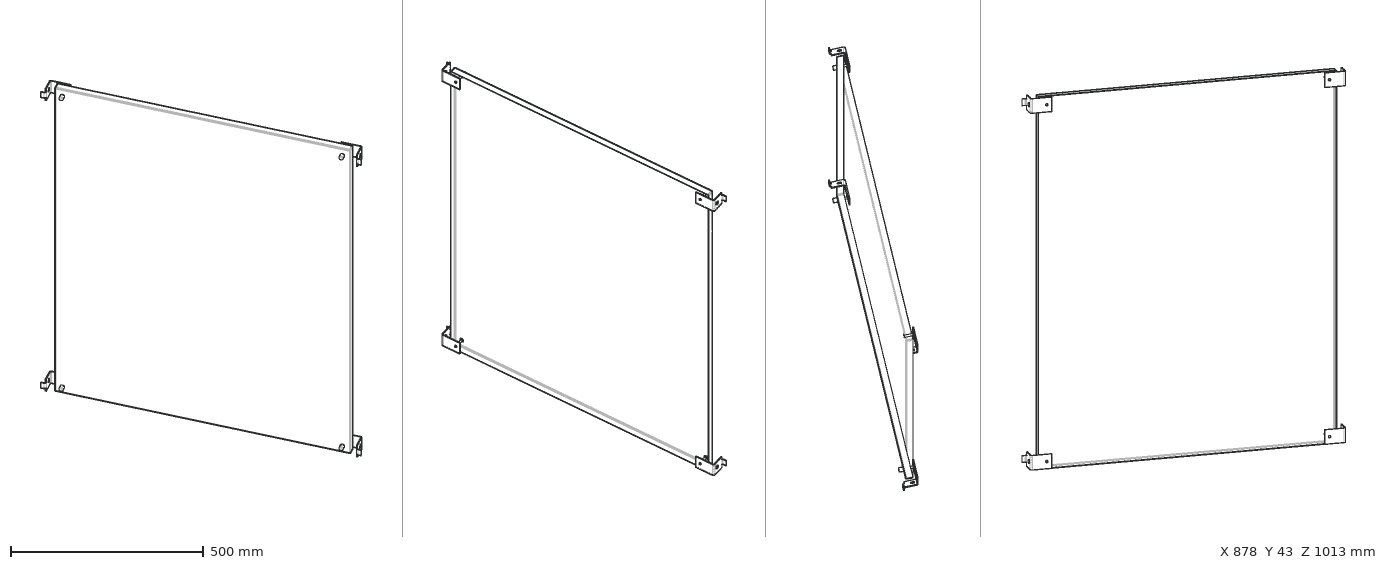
import cadquery as cq

HEIGHT = 1013.0
WIDTH = 878.0
DEPTH = 43.0
FRONT_Y = -DEPTH / 2
BACK_Y = DEPTH / 2

PANEL_WIDTH = 812.0
PANEL_FRONT_Y = -8.0
PANEL_DEPTH = 20.0
PANEL_SHEET = 2.0
PANEL_BEND = 3.5

BRACKET_SHEET = 3.0
BRACKET_BEND = 5.0
BRACKET_HEIGHT = 40.0
WALL_X = 428.0
PLATE_END_X = 371.0
FOOT_HEIGHT = 18.0
WALL_HOLE_DIAMETER = 11.0
WALL_HOLE_Y = 5.6

SCREW_INSET = 22.0
HEAD_DIAMETER = 12.0
HEAD_ROUND = 2.0
SHANK_DIAMETER = 6.0

SCREW_X = PANEL_WIDTH / 2 - SCREW_INSET
SCREW_Z = HEIGHT / 2 - SCREW_INSET
CORNERS = [(side, level) for side in (-1, 1) for level in (-1, 1)]


def cylinder_along_y(diameter, x, z, y_start, y_end):
    """A round bar parallel to Y."""
    plane = cq.Plane(origin=(x, y_start, z), xDir=(1, 0, 0), normal=(0, 1, 0))
    return cq.Workplane(plane).circle(diameter / 2).extrude(y_end - y_start)


def screw_shank(side, level):
    return cylinder_along_y(SHANK_DIAMETER, side * SCREW_X, level * SCREW_Z, PANEL_FRONT_Y, BACK_Y)


def rounded_block(width, height, front_y, back_y, radius):
    """Block centred on the Y axis, rounded at its four corners and along its front edges."""
    plane = cq.Plane(origin=(0, front_y, 0), xDir=(1, 0, 0), normal=(0, 1, 0))
    block = cq.Workplane(plane).rect(width, height).extrude(back_y - front_y)
    return block.edges("|Y or <Y").fillet(radius)


def make_panel():
    """Tray open at the back, with four screw holes."""
    back_y = PANEL_FRONT_Y + PANEL_DEPTH
    outside = rounded_block(PANEL_WIDTH, HEIGHT, PANEL_FRONT_Y, back_y, PANEL_BEND)
    inside = rounded_block(
        PANEL_WIDTH - 2 * PANEL_SHEET,
        HEIGHT - 2 * PANEL_SHEET,
        PANEL_FRONT_Y + PANEL_SHEET,
        back_y,
        PANEL_BEND - PANEL_SHEET,
    )
    panel = outside.cut(inside)
    for side, level in CORNERS:
        panel = panel.cut(screw_shank(side, level))
    return panel


def bracket_strip(height):
    """The bent strip on the -X side, centred on Z = 0."""
    wall_inner_x = -WALL_X + BRACKET_SHEET
    foot_tip_x = -WIDTH / 2
    strip = (
        cq.Workplane("XY", origin=(0, 0, -height / 2))
        .moveTo(-PLATE_END_X, BACK_Y)
        .lineTo(-WALL_X, BACK_Y)
        .lineTo(-WALL_X, FRONT_Y + BRACKET_SHEET)
        .lineTo(foot_tip_x, FRONT_Y + BRACKET_SHEET)
        .lineTo(foot_tip_x, FRONT_Y)
        .lineTo(wall_inner_x, FRONT_Y)
        .lineTo(wall_inner_x, BACK_Y - BRACKET_SHEET)
        .lineTo(-PLATE_END_X, BACK_Y - BRACKET_SHEET)
        .close()
        .extrude(height)
    )
    inner_bend = BRACKET_BEND - BRACKET_SHEET
    bends = [
        (-WALL_X, BACK_Y, BRACKET_BEND),
        (wall_inner_x, BACK_Y - BRACKET_SHEET, inner_bend),
        (wall_inner_x, FRONT_Y, BRACKET_BEND),
        (-WALL_X, FRONT_Y + BRACKET_SHEET, inner_bend),
    ]
    for x, y, radius in bends:
        strip = strip.edges(cq.selectors.NearestToPointSelector((x, y, 0))).fillet(radius)
    return strip


def make_bracket(side, level):
    """One bracket: full height down to the foot's bend, narrow in the foot itself."""
    foot_start_y = FRONT_Y + BRACKET_BEND
    behind_foot = cq.Workplane("XY").box(WIDTH, DEPTH, HEIGHT).translate((0, foot_start_y + DEPTH / 2, 0))
    bracket = bracket_strip(BRACKET_HEIGHT).intersect(behind_foot).union(bracket_strip(FOOT_HEIGHT))
    wall_hole = (
        cq.Workplane("YZ", origin=(-WALL_X, 0, 0))
        .center(WALL_HOLE_Y, 0)
        .circle(WALL_HOLE_DIAMETER / 2)
        .extrude(BRACKET_SHEET)
    )
    bracket = bracket.cut(wall_hole)
    if side > 0:
        bracket = bracket.mirror("YZ")
    return bracket.translate((0, 0, level * SCREW_Z)).cut(screw_shank(side, level))


def make_screw(side, level):
    """Round head in front of the panel and a shank that ends flush with the bracket's back."""
    head = cylinder_along_y(HEAD_DIAMETER, side * SCREW_X, level * SCREW_Z, FRONT_Y, PANEL_FRONT_Y)
    head = head.faces("<Y").edges().fillet(HEAD_ROUND)
    return head.union(screw_shank(side, level))


panel = make_panel()
brackets = [make_bracket(side, level).val() for side, level in CORNERS]
screws = [make_screw(side, level).val() for side, level in CORNERS]

result = cq.Compound.makeCompound([panel.val(), *brackets, *screws])